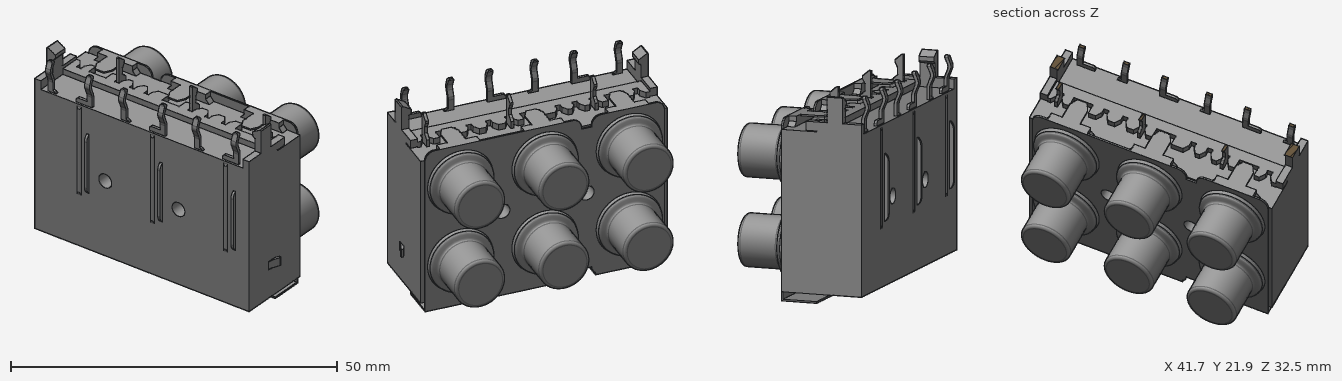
import cadquery as cq
import math


BODY_W = 41.0
BODY_D = 13.05
BODY_H = 26.85
FLOOR_Z = 25.3
WALL_T = 1.2
SLAB_Z = 26.3
SLAB_FRONT_Y = 5.6
SLAB_BACK_Y = 9.1
NOTCH_FRONT_Y = 7.36
SLIT_H = 0.15

SLOT_W = 0.85
SLOT_MOUTH_W = 2.1
SLOT_NECK_Y = 8.15
SLOT_XS = (2.95, 10.2, 13.05, 15.85, 24.2, 27.4, 30.6, 38.2)

PITCH = 14.0
COLUMN_XS = tuple(BODY_W / 2 + i * PITCH for i in (-1, 0, 1))
LOWER_ROW_Z = 6.4
ROW_ZS = (LOWER_ROW_Z, LOWER_ROW_Z + PITCH)
SOCKET_R = 4.15
SOCKET_TIP_Y = 21.3
SOCKET_TIP_FILLET = 0.5
COLLAR_R = 5.27
COLLAR_Y = 14.53
COLLAR_CURVE_H = 0.48
COLLAR_ROOT_Y = 13.85
COLLAR_FLARE_R = 5.45

HOLE_D = 2.45
HOLE_XS = (COLUMN_XS[0] + PITCH / 2, COLUMN_XS[1] + PITCH / 2)
HOLE_Z = LOWER_ROW_Z + PITCH / 2

PLATE_X0 = 0.57
PLATE_X1 = 40.35
PLATE_T = 0.28
PLATE_BOTTOM_Z = -1.55
PLATE_BACK_Y = BODY_D + PLATE_T
FLANGE_FRONT_Y = 7.55
GAP_X = HOLE_XS[0]
GAP_W = 1.7
GAP_EXTRA_DEPTH = 0.3
FLANGE_GAP_W = 2.9
PLATE_CORNER_R = BODY_H - FLOOR_Z

BRIDGE_BASE_W = 8.0
BRIDGE_TOP_W = 6.65
BRIDGE_WAIST_Z = 26.05
BRIDGE_FRONT_Y = 11.86
TONGUE_W = 3.05
TONGUE_TIP_W = 1.7
TONGUE_TIP_Y = 7.86
TONGUE_T = 0.24
POCKET_W = 3.25

LATCH_TOP_Z = PLATE_BOTTOM_Z + 32.5
LATCH_Y0 = 3.1
LATCH_HOOK_W = 1.63
LATCH_CHAMFER = 0.2
LATCH_CHAMFER_H = 0.12
LATCH_HOOK_TOP_Z = 30.1
LATCH_HOOK_LOW_Z = 29.4
LATCH_NECK_Z = 29.05

PIN_DX = 3.7
PIN_T = 0.5
PIN_FRONT_Y = 7.6
PIN_TIP_Y = 7.95
PIN_NECK_Y = 8.55
PIN_HOOK_Y = 8.97
PIN_FOOT_Y = 9.42
PIN_TOP_Z = 30.45
PIN_HOOK_TOP_Z = 29.6
PIN_HOOK_LOW_Z = 29.2
PIN_NECK_TOP_Z = 28.4
PIN_NECK_LOW_Z = 27.25
PIN_SHOULDER_Z = 26.95
PIN_FOOT_TOP_Z = 26.5
WIDE_RIB_DX = 2.02
WIDE_RIB_W = 0.8
WIDE_RIB_H = 0.12
WIDE_RIB_Z0 = 9.2
WIDE_RIB_Z1 = 24.9
WIDE_RIB_END = 0.45
NARROW_RIB_W = 0.45
NARROW_RIB_H = 0.59
NARROW_RIB_Z0 = 10.05
NARROW_RIB_Z1 = 20.6
NARROW_RIB_END = 1.15
NARROW_RIB_BULGE_Y = 0.7
NARROW_RIB_BULGE_Z = 0.4
TERMINAL_W = 0.95
TERMINAL_DXS = (-3.77, 3.72)
TERMINAL_TOP_Z = 30.85
TERMINAL_TIP_FILLET = 0.35
TERMINAL_BEND_R = 1.2
TERMINAL_FRONT_Y = 0.36
TERMINAL_BACK_Y = 0.82
TERMINAL_BOW_FRONT_Y = -0.38
TERMINAL_BOW_BACK_Y = 0.12
TERMINAL_LOW_BEND_Z = 27.4
TERMINAL_BOW_Z = 29.15
TERMINAL_TIP_FRONT_Y = 0.2
TERMINAL_TIP_CHAMFER_Y = 0.1
TERMINAL_TIP_CHAMFER_Z = 0.2
SHORT_FOOT_L = 1.15
SHORT_FOOT_KNEE_L = 0.8
SHORT_FOOT_KNEE_Z = FLOOR_Z + 0.25
SHORT_FOOT_TOP_Z = FLOOR_Z + 0.4
LONG_FOOT_L = 2.55
LONG_FOOT_TOP_Z = FLOOR_Z + 0.8
LONG_FOOT_END_R = 0.45

FINGER_Z0 = 5.15
FINGER_H = 1.4
FINGER_X = BODY_W + 0.71
FINGER_Y0 = 4.9
FINGER_Y1 = 7.25
FINGER_TIP_Y = 6.95
FINGER_BACK_Y = 6.5
FINGER_ROOT_T = 0.08
FINGER_TIP_T = 0.36
FINGER_MID_X = BODY_W + 0.36
FINGER_MID_Y = 6.2

EMBED = 0.1


def box(x0, x1, y0, y1, z0, z1):
    return cq.Workplane("XY").box(x1 - x0, y1 - y0, z1 - z0, centered=False).translate((x0, y0, z0))


def prism_x(points, x0, x1):
    """Outline of (y, z) points, extruded from x0 to x1."""
    return cq.Workplane("YZ").polyline(points).close().extrude(x1 - x0).translate((x0, 0, 0))


def prism_y(points, y0, y1):
    """Outline of (x, z) points, extruded from y0 to y1."""
    return cq.Workplane("XZ").polyline(points).close().extrude(y0 - y1).translate((0, y0, 0))


def prism_z(points, z0, z1):
    """Outline of (x, y) points, extruded from z0 to z1."""
    return cq.Workplane("XY").polyline(points).close().extrude(z1 - z0).translate((0, 0, z0))


def slab_slot(x):
    """Narrow slot that flares open at the slab's back edge."""
    half, mouth = SLOT_W / 2, SLOT_MOUTH_W / 2
    outline = [
        (x - half, NOTCH_FRONT_Y),
        (x + half, NOTCH_FRONT_Y),
        (x + half, SLOT_NECK_Y),
        (x + mouth, SLAB_BACK_Y),
        (x - mouth, SLAB_BACK_Y),
        (x - half, SLOT_NECK_Y),
    ]
    return prism_z(outline, FLOOR_Z, BODY_H)


def housing():
    inner_x1 = BODY_W - WALL_T
    body = box(0, BODY_W, 0, BODY_D, 0, BODY_H)
    body = body.cut(box(0, BODY_W, SLAB_BACK_Y, BODY_D, FLOOR_Z, BODY_H))
    body = body.cut(box(WALL_T, inner_x1, 0, SLAB_BACK_Y, SLAB_Z, BODY_H))
    body = body.cut(box(WALL_T, inner_x1, 0, SLAB_FRONT_Y, FLOOR_Z, BODY_H))
    for x in SLOT_XS:
        body = body.cut(slab_slot(x))
    for x in COLUMN_XS:
        half = POCKET_W / 2
        body = body.cut(box(x - half, x + half, NOTCH_FRONT_Y, SLAB_BACK_Y, FLOOR_Z, BODY_H))
    for x in (0, inner_x1):
        slit = box(x, x + WALL_T, NOTCH_FRONT_Y, SLAB_BACK_Y, FLOOR_Z, FLOOR_Z + SLIT_H)
        body = body.cut(slit)
    return body


def plate_gap(width, z0, z1):
    return box(GAP_X - width / 2, GAP_X + width / 2, FLANGE_FRONT_Y, PLATE_BACK_Y, z0, z1)


def plate():
    """Upright sheet with a flange bent forward under the housing."""
    sheet = box(PLATE_X0, PLATE_X1, BODY_D, PLATE_BACK_Y, PLATE_BOTTOM_Z, BODY_H)
    sheet = sheet.cut(plate_gap(GAP_W, FLOOR_Z - GAP_EXTRA_DEPTH, BODY_H))
    sheet = sheet.cut(plate_gap(GAP_W, PLATE_BOTTOM_Z, 0))

    r = PLATE_CORNER_R
    gap_x0, gap_x1 = GAP_X - GAP_W / 2, GAP_X + GAP_W / 2
    top_z, low_z = BODY_H - r, PLATE_BOTTOM_Z + r
    corners = [
        (PLATE_X0, PLATE_X0 + r, top_z, BODY_H),
        (gap_x0, gap_x0 - r, top_z, BODY_H),
        (gap_x1, gap_x1 + r, top_z, BODY_H),
        (PLATE_X1, PLATE_X1 - r, top_z, BODY_H),
        (gap_x0, gap_x0 - r, low_z, PLATE_BOTTOM_Z),
        (gap_x1, gap_x1 + r, low_z, PLATE_BOTTOM_Z),
    ]
    for side_x, centre_x, centre_z, edge_z in corners:
        x0, x1 = sorted((side_x, centre_x))
        z0, z1 = sorted((centre_z, edge_z))
        block = box(x0, x1, BODY_D, PLATE_BACK_Y, z0, z1)
        round_part = (
            cq.Workplane("XZ", origin=(centre_x, BODY_D, centre_z))
            .circle(r)
            .extrude(-PLATE_T)
        )
        sheet = sheet.cut(block.cut(round_part))

    flange_top_z = PLATE_BOTTOM_Z + PLATE_T
    flange = box(PLATE_X0, PLATE_X1, FLANGE_FRONT_Y, PLATE_BACK_Y, PLATE_BOTTOM_Z, flange_top_z)
    return sheet.union(flange.cut(plate_gap(FLANGE_GAP_W, PLATE_BOTTOM_Z, flange_top_z)))


def socket(x, z):
    """Solid turned sleeve with a rounded tip and a stepped collar; the axis runs along Y."""
    base_y = BODY_D - EMBED
    tip_r = SOCKET_R - SOCKET_TIP_FILLET
    quarter = math.sqrt(0.5)
    return (
        cq.Workplane("XY")
        .moveTo(0, base_y)
        .lineTo(COLLAR_FLARE_R, base_y)
        .lineTo(COLLAR_FLARE_R, PLATE_BACK_Y)
        .lineTo(COLLAR_R, COLLAR_ROOT_Y)
        .lineTo(COLLAR_R, COLLAR_Y - COLLAR_CURVE_H)
        .spline(
            [((COLLAR_R + SOCKET_R) / 2, COLLAR_Y), (SOCKET_R, COLLAR_Y + COLLAR_CURVE_H)],
            tangents=[(0, 1), (0, 1)],
            includeCurrent=True,
        )
        .lineTo(SOCKET_R, SOCKET_TIP_Y - SOCKET_TIP_FILLET)
        .threePointArc(
            (tip_r + SOCKET_TIP_FILLET * quarter, SOCKET_TIP_Y - SOCKET_TIP_FILLET * (1 - quarter)),
            (tip_r, SOCKET_TIP_Y),
        )
        .lineTo(0, SOCKET_TIP_Y)
        .close()
        .revolve(360, (0, 0, 0), (0, 1, 0))
        .translate((x, 0, z))
    )


def bridge(x):
    """Block with sloped feet behind the slab, and a tapered tongue reaching over the slab."""
    foot, top = BRIDGE_BASE_W / 2, BRIDGE_TOP_W / 2
    base_z = FLOOR_Z - EMBED
    outline = [
        (x - foot, base_z),
        (x + foot, base_z),
        (x + foot, FLOOR_Z),
        (x + top, BRIDGE_WAIST_Z),
        (x + top, BODY_H),
        (x - top, BODY_H),
        (x - top, BRIDGE_WAIST_Z),
        (x - foot, FLOOR_Z),
    ]
    half, tip = TONGUE_W / 2, TONGUE_TIP_W / 2
    tongue = [
        (x - half, BODY_D),
        (x - half, SLAB_BACK_Y),
        (x - tip, TONGUE_TIP_Y),
        (x + tip, TONGUE_TIP_Y),
        (x + half, SLAB_BACK_Y),
        (x + half, BODY_D),
    ]
    block = prism_y(outline, BRIDGE_FRONT_Y, BODY_D)
    return block.union(prism_z(tongue, BODY_H - TONGUE_T, BODY_H))


def latch():
    """Post on the end wall at x = 0, hooked toward the middle of the part."""
    outline = [
        (0, SLAB_Z - EMBED),
        (0, LATCH_TOP_Z - LATCH_CHAMFER_H),
        (LATCH_CHAMFER, LATCH_TOP_Z),
        (LATCH_HOOK_W, LATCH_HOOK_TOP_Z),
        (LATCH_HOOK_W, LATCH_HOOK_LOW_Z),
        (WALL_T, LATCH_NECK_Z),
        (WALL_T, SLAB_Z - EMBED),
    ]
    return prism_y(outline, LATCH_Y0, SLAB_FRONT_Y)


def pin(x):
    """Flat blade with a wide foot and a hook facing the sockets."""
    outline = [
        (PIN_FRONT_Y, FLOOR_Z - EMBED),
        (PIN_FRONT_Y, PIN_TOP_Z),
        (PIN_TIP_Y, PIN_TOP_Z),
        (PIN_HOOK_Y, PIN_HOOK_TOP_Z),
        (PIN_HOOK_Y, PIN_HOOK_LOW_Z),
        (PIN_NECK_Y, PIN_NECK_TOP_Z),
        (PIN_NECK_Y, PIN_NECK_LOW_Z),
        (PIN_HOOK_Y, PIN_SHOULDER_Z),
        (PIN_FOOT_Y, PIN_FOOT_TOP_Z),
        (PIN_FOOT_Y, FLOOR_Z - EMBED),
    ]
    return prism_x(outline, x - PIN_T / 2, x + PIN_T / 2)


def terminal_strip(x0, x1):
    """Bowed strip seen from the side: straight foot, bend toward -Y, bend back to the tip."""
    base_z = FLOOR_Z - EMBED
    outline = [
        (TERMINAL_FRONT_Y, base_z),
        (TERMINAL_FRONT_Y, TERMINAL_LOW_BEND_Z),
        (TERMINAL_BOW_FRONT_Y, TERMINAL_BOW_Z),
        (TERMINAL_TIP_FRONT_Y, TERMINAL_TOP_Z - TERMINAL_TIP_CHAMFER_Z),
        (TERMINAL_TIP_FRONT_Y + TERMINAL_TIP_CHAMFER_Y, TERMINAL_TOP_Z),
        (TERMINAL_BACK_Y - TERMINAL_TIP_CHAMFER_Y, TERMINAL_TOP_Z),
        (TERMINAL_BACK_Y, TERMINAL_TOP_Z - TERMINAL_TIP_CHAMFER_Z),
        (TERMINAL_BOW_BACK_Y, TERMINAL_BOW_Z),
        (TERMINAL_BACK_Y, TERMINAL_LOW_BEND_Z),
        (TERMINAL_BACK_Y, base_z),
    ]
    bends = cq.selectors.BoxSelector(
        (x0, TERMINAL_BOW_FRONT_Y - EMBED, TERMINAL_LOW_BEND_Z - EMBED),
        (x1, TERMINAL_BACK_Y + EMBED, TERMINAL_BOW_Z + EMBED),
    )
    return prism_x(outline, x0, x1).edges("|X").edges(bends).fillet(TERMINAL_BEND_R)


def terminal(x, side, foot):
    """Strip at x with a foot on its +X (side 1) or -X (side -1), as (distance from axis, z) points."""
    half = TERMINAL_W / 2
    base_z = FLOOR_Z - EMBED
    stem = [(-half, base_z), (-half, TERMINAL_TOP_Z), (half, TERMINAL_TOP_Z)]
    outline = [(x + side * distance, z) for distance, z in stem + foot]
    front = prism_y(outline, TERMINAL_BOW_FRONT_Y, TERMINAL_BACK_Y)
    front = front.edges("|Y and >Z").fillet(TERMINAL_TIP_FILLET)
    return front.intersect(terminal_strip(x - LONG_FOOT_L, x + LONG_FOOT_L))


def terminals(column_x):
    base_z = FLOOR_Z - EMBED
    half = TERMINAL_W / 2
    short_foot = [
        (half, SHORT_FOOT_TOP_Z),
        (SHORT_FOOT_KNEE_L, SHORT_FOOT_KNEE_Z),
        (SHORT_FOOT_L, FLOOR_Z),
        (SHORT_FOOT_L, base_z),
    ]
    long_foot = [
        (half, LONG_FOOT_TOP_Z),
        (LONG_FOOT_L, LONG_FOOT_TOP_Z),
        (LONG_FOOT_L, base_z),
    ]
    left = terminal(column_x + TERMINAL_DXS[0], 1, short_foot)
    right_x = column_x + TERMINAL_DXS[1]
    right = terminal(right_x, -1, long_foot)
    foot_end = cq.selectors.NearestToPointSelector(
        (right_x - LONG_FOOT_L, (TERMINAL_FRONT_Y + TERMINAL_BACK_Y) / 2, LONG_FOOT_TOP_Z)
    )
    return left.union(right.edges("|Y").edges(foot_end).fillet(LONG_FOOT_END_R))


def wide_rib(x):
    """Shallow rounded rib with sloped ends."""
    half = WIDE_RIB_W / 2
    z0, z1, h = WIDE_RIB_Z0, WIDE_RIB_Z1, WIDE_RIB_H
    bar = (
        cq.Workplane("XY", origin=(x, 0, z0))
        .moveTo(-half, EMBED)
        .lineTo(-half, 0)
        .threePointArc((0, -h), (half, 0))
        .lineTo(half, EMBED)
        .close()
        .extrude(z1 - z0)
    )
    side = [
        (EMBED, z0),
        (0, z0),
        (-h, z0 + WIDE_RIB_END),
        (-h, z1 - WIDE_RIB_END),
        (0, z1),
        (EMBED, z1),
    ]
    return bar.intersect(prism_x(side, x - half, x + half))


def narrow_rib(x):
    """Thin standing rib with rounded ends."""
    z0, z1, h, end = NARROW_RIB_Z0, NARROW_RIB_Z1, NARROW_RIB_H, NARROW_RIB_END
    mid_y, mid_z = -NARROW_RIB_BULGE_Y * h, NARROW_RIB_BULGE_Z * end
    return (
        cq.Workplane("YZ", origin=(x - NARROW_RIB_W / 2, 0, 0))
        .moveTo(EMBED, z0)
        .lineTo(0, z0)
        .threePointArc((mid_y, z0 + mid_z), (-h, z0 + end))
        .lineTo(-h, z1 - end)
        .threePointArc((mid_y, z1 - mid_z), (0, z1))
        .lineTo(EMBED, z1)
        .close()
        .extrude(NARROW_RIB_W)
    )


def finger():
    """Thin spring finger leaning out of the +X side."""
    root_x = BODY_W - EMBED
    outline = (
        cq.Workplane("XY", origin=(0, 0, FINGER_Z0))
        .moveTo(root_x, FINGER_Y0)
        .lineTo(BODY_W + FINGER_ROOT_T, FINGER_Y0)
        .threePointArc((FINGER_MID_X, FINGER_MID_Y), (FINGER_X, FINGER_TIP_Y))
        .lineTo(FINGER_X, FINGER_Y1)
        .lineTo(FINGER_X - FINGER_TIP_T, FINGER_Y1)
        .lineTo(BODY_W, FINGER_BACK_Y)
        .lineTo(root_x, FINGER_BACK_Y)
        .close()
    )
    return outline.extrude(FINGER_H)


def build():
    part = housing().union(plate())
    for x in COLUMN_XS:
        part = part.union(bridge(x)).union(pin(x + PIN_DX)).union(terminals(x))
        part = part.union(wide_rib(x + WIDE_RIB_DX)).union(narrow_rib(x + PIN_DX))
        for z in ROW_ZS:
            part = part.union(socket(x, z))
    left_latch = latch()
    right_latch = left_latch.mirror("YZ").translate((BODY_W, 0, 0))
    part = part.union(left_latch).union(right_latch).union(finger())
    for x in HOLE_XS:
        hole = cq.Workplane("XZ", origin=(x, 0, HOLE_Z)).circle(HOLE_D / 2).extrude(-PLATE_BACK_Y)
        part = part.cut(hole)
    return part


result = build()